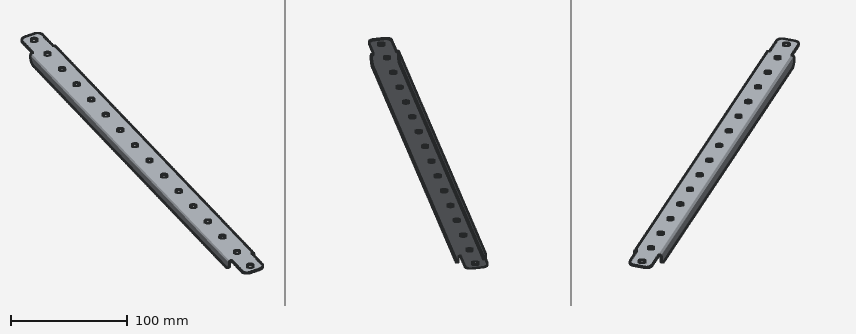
import cadquery as cq

length = 386.0
width = 25.0
height = 10.0
sheet = 1.25

channel_length = 340.5
bend_radius = 2.6
inner_bend_radius = bend_radius - sheet
flange_corner_radius = 5.5

tongue_width = width - 2 * bend_radius
tongue_corner_radius = 5.0

hole_diameter = 5.5
row_end_margin = 7.7
hole_count = 14
end_hole_diameter = 5.8
end_hole_inset = 7.7


def channel():
    """Downward-opening U with rounded bends and rounded lower flange corners."""
    outer = (
        cq.Workplane("XY")
        .box(channel_length, width, height, centered=(True, True, False))
        .translate((0, 0, -height))
        .edges("|X and >Z")
        .fillet(bend_radius)
    )
    inner = (
        cq.Workplane("XY")
        .box(channel_length, width - 2 * sheet, height - sheet, centered=(True, True, False))
        .translate((0, 0, -height))
        .edges("|X and >Z")
        .fillet(inner_bend_radius)
    )
    return outer.cut(inner).edges("|Y and <Z").fillet(flange_corner_radius)


def tongue_strip():
    """Full-length flat strip with rounded end corners."""
    return (
        cq.Workplane("XY")
        .box(length, tongue_width, sheet, centered=(True, True, False))
        .translate((0, 0, -sheet))
        .edges("|Z")
        .fillet(tongue_corner_radius)
    )


def hole_pins(diameter, x_positions):
    """Vertical pins that cut holes through the web."""
    return (
        cq.Workplane("XY")
        .pushPoints([(x, 0) for x in x_positions])
        .circle(diameter / 2)
        .extrude(-sheet)
    )


first_hole_x = row_end_margin - channel_length / 2
hole_pitch = -2 * first_hole_x / (hole_count - 1)
row_positions = [first_hole_x + i * hole_pitch for i in range(hole_count)]
end_hole_x = length / 2 - end_hole_inset

result = (
    channel()
    .union(tongue_strip())
    .cut(hole_pins(hole_diameter, row_positions))
    .cut(hole_pins(end_hole_diameter, [-end_hole_x, end_hole_x]))
)